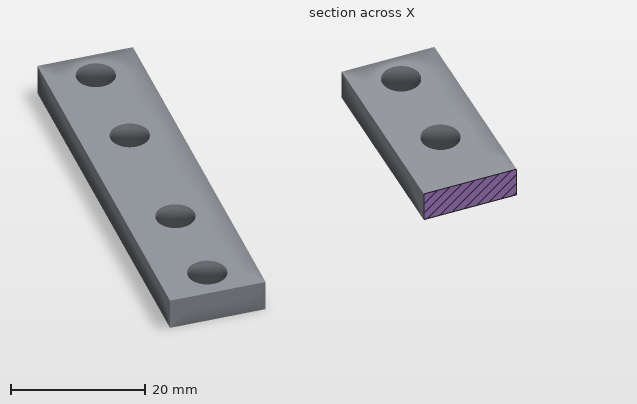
import cadquery as cq

length = 62.5
width = 15.0
thickness = 5.0

hole_diameter = 6.0
hole_offsets = [5.0, 21.0, 42.5, 57.5]


def make_bar():
    """Plain bar lying flat along X."""
    return cq.Workplane("XY").box(length, width, thickness, centered=False)


def drill_holes(bar):
    """Drill the row of plain through holes down from the top face."""
    centres = [(offset, width / 2) for offset in hole_offsets]
    return (
        bar.faces(">Z")
        .workplane(origin=(0, 0, thickness))
        .pushPoints(centres)
        .hole(hole_diameter)
    )


result = drill_holes(make_bar())